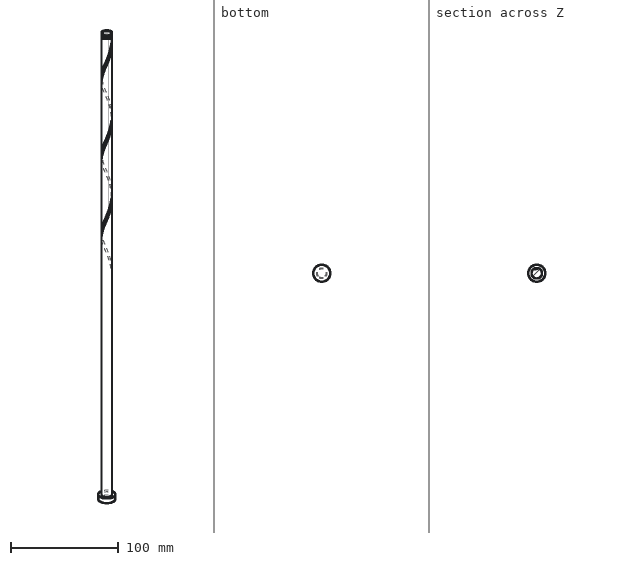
import cadquery as cq
import math

PIN_LENGTH = 500.0
ROD_RADIUS = 5.0
HEAD_RADIUS = 8.0
HEAD_HEIGHT = 5.0

TIP_CAP_HEIGHT = 1.0
RING_GROOVE_WIDTH = 3.0
RING_GROOVE_FLOOR_RADIUS = 4.0
RING_GROOVE_Z = PIN_LENGTH - TIP_CAP_HEIGHT - RING_GROOVE_WIDTH

HELIX_TURNS = 3
HELIX_HEIGHT = 250.0
HELIX_PITCH = HELIX_HEIGHT / HELIX_TURNS
HELIX_RUNOUT = 1.0
HELIX_START_Z = RING_GROOVE_Z + HELIX_RUNOUT - HELIX_HEIGHT
HELIX_START_ANGLE = 90.0
HELIX_GROOVE_RADIUS = 1.0


def make_pin():
    """Headed round rod, with the ring groove turned into its tip."""
    ring_groove_top = RING_GROOVE_Z + RING_GROOVE_WIDTH
    half_profile = [
        (0, 0),
        (HEAD_RADIUS, 0),
        (HEAD_RADIUS, HEAD_HEIGHT),
        (ROD_RADIUS, HEAD_HEIGHT),
        (ROD_RADIUS, RING_GROOVE_Z),
        (RING_GROOVE_FLOOR_RADIUS, RING_GROOVE_Z),
        (RING_GROOVE_FLOOR_RADIUS, ring_groove_top),
        (ROD_RADIUS, ring_groove_top),
        (ROD_RADIUS, PIN_LENGTH),
        (0, PIN_LENGTH),
    ]
    return cq.Workplane("XZ").polyline(half_profile).close().revolve(360, (0, 0, 0), (0, 1, 0))


def make_helix_cutter():
    """Round bar wound along the rod surface; half of it bites into the rod."""
    path = cq.Wire.makeHelix(HELIX_PITCH, HELIX_HEIGHT, ROD_RADIUS)
    path_direction = cq.Vector(0, 2 * math.pi * ROD_RADIUS, HELIX_PITCH)
    section_plane = cq.Plane(origin=(ROD_RADIUS, 0, 0), xDir=(1, 0, 0), normal=path_direction)
    cutter = cq.Workplane(section_plane).circle(HELIX_GROOVE_RADIUS).sweep(path, isFrenet=True)
    turned = cutter.rotate((0, 0, 0), (0, 0, 1), HELIX_START_ANGLE)
    return turned.translate((0, 0, HELIX_START_Z))


result = make_pin().cut(make_helix_cutter())